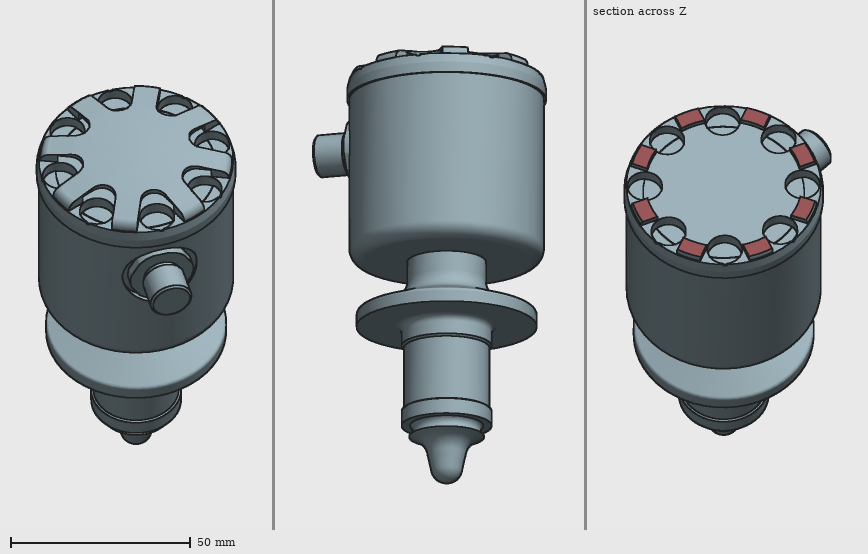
import cadquery as cq
import math

TOP_Z = 122.3
CAP_EDGE_Z = 119.9
LEDGE_Z = 117.2
LID_BEVEL_Z = 114.5
LID_BOTTOM_Z = 111.5
HOUSING_BOTTOM_Z = 64.3
FLANGE_TOP_Z = 49.4
FLANGE_BOTTOM_Z = 45.5
UPPER_BAND_BOTTOM_Z = 39.9
LOWER_BAND_TOP_Z = 20.9
LOWER_BAND_BOTTOM_Z = 16.6
GROOVE_WAIST_Z = 15.4
RIDGE_Z = 13.5
RIDGE_CONE_BOTTOM_Z = 12.7
NOSE_TOP_Z = 8.3
NOSE_BOTTOM_Z = 3.9

LID_RADIUS = 55.7 / 2
LEDGE_RADIUS = 27.2
CAP_RADIUS = 24.1
SPOKE_FOOT_RADIUS = 26.8
CAVITY_RADIUS = 43.8 / 2
CAP_ROUND_SAGITTA = 0.8
SLOT_COUNT = 8
SLOT_TIP_RADIUS = 7.7 / 2
SLOT_TIP_DISTANCE = 19.3
DRAIN_HOLE_DIAMETER = 9.7
DRAIN_HOLE_DISTANCE = 22.0
DRAIN_HOLE_DEPTH = 3.3
SEAT_RADIUS = 45.0 / 2
SEAT_STEP = 0.2
NOTCH_DIAMETER = 1.6
NOTCH_LIFT = 0.4

HOUSING_RADIUS = 54.4 / 2
HOUSING_FILLET = 3.9
NECK_RADIUS = 22.0 / 2
NECK_FILLET = 5.9
FLANGE_RADIUS = 25.2
FLANGE_SLOPE = math.radians(20)
FLANGE_EDGE_FILLET = 1.0
RIM_BOX = 0.1

BAND_RADIUS = 25.2 / 2
BAND_FILLET = 1.8
SHANK_RADIUS = 24.0 / 2
UPPER_CHAMFER_HEIGHT = 0.6
LOWER_CHAMFER_HEIGHT = 0.4
GROOVE_TOP_RADIUS = 10.3
GROOVE_WAIST_RADIUS = 9.5
RIDGE_RADIUS = 21.0 / 2
RIDGE_CONE_RADIUS = 8.8
FLARE_MID_RADIUS = 6.4
FLARE_MID_Z = 10.8
NOSE_TOP_RADIUS = 5.4
NOSE_BOTTOM_RADIUS = 4.4

CONNECTOR_Z = 98.3
CONNECTOR_END_X = 65.3 - LID_RADIUS
POCKET_DIAMETER = 21.5
POCKET_FLOOR_X = 24.5
NUT_FACE_X = 27.3
NUT_ACROSS_FLATS = 17.6
NUT_CORNER_DIAMETER = 18.2
PLUG_NECK_DIAMETER = 10.5
PLUG_START_X = 28.9
PLUG_DIAMETER = 11.9
PLUG_CHAMFER = 0.6


def polar(center, radius, angle):
    """Point at an angle on a circle around a center."""
    return (center[0] + radius * math.cos(angle), center[1] + radius * math.sin(angle))


def revolve_profile(profile):
    """Turn a closed profile of (radius, height) points around the Z axis."""
    return profile.close().revolve(360, (0, 0, 0), (0, 1, 0))


def disc(radius, bottom_z, height, x=0):
    """Upright cylinder whose axis crosses the X axis at x."""
    return cq.Workplane("XY").workplane(offset=bottom_z).center(x, 0).circle(radius).extrude(height)


def probe_and_flange():
    blend_sweep = math.pi / 2 - FLANGE_SLOPE
    blend_end_radius = NECK_RADIUS + NECK_FILLET * (1 - math.cos(blend_sweep))
    blend_end_z = FLANGE_TOP_Z + (FLANGE_RADIUS - blend_end_radius) * math.tan(FLANGE_SLOPE)
    blend_center = (NECK_RADIUS + NECK_FILLET, blend_end_z + NECK_FILLET * math.sin(blend_sweep))
    blend_mid = polar(blend_center, NECK_FILLET, math.pi + blend_sweep / 2)

    band_fillet_center = (BAND_RADIUS + BAND_FILLET, FLANGE_BOTTOM_Z - BAND_FILLET)
    band_fillet_mid = polar(band_fillet_center, BAND_FILLET, math.radians(135))

    tip_radius = (NOSE_BOTTOM_RADIUS**2 + NOSE_BOTTOM_Z**2) / (2 * NOSE_BOTTOM_Z)
    tip_mid = polar((0, tip_radius), tip_radius, math.radians(-45))

    profile = (
        cq.Workplane("XZ")
        .moveTo(0, 0)
        .threePointArc(tip_mid, (NOSE_BOTTOM_RADIUS, NOSE_BOTTOM_Z))
        .lineTo(NOSE_TOP_RADIUS, NOSE_TOP_Z)
        .threePointArc((FLARE_MID_RADIUS, FLARE_MID_Z), (RIDGE_CONE_RADIUS, RIDGE_CONE_BOTTOM_Z))
        .lineTo(RIDGE_RADIUS, RIDGE_Z)
        .threePointArc((GROOVE_WAIST_RADIUS, GROOVE_WAIST_Z), (GROOVE_TOP_RADIUS, LOWER_BAND_BOTTOM_Z))
        .lineTo(BAND_RADIUS, LOWER_BAND_BOTTOM_Z)
        .lineTo(BAND_RADIUS, LOWER_BAND_TOP_Z)
        .lineTo(SHANK_RADIUS, LOWER_BAND_TOP_Z + LOWER_CHAMFER_HEIGHT)
        .lineTo(SHANK_RADIUS, UPPER_BAND_BOTTOM_Z - UPPER_CHAMFER_HEIGHT)
        .lineTo(BAND_RADIUS, UPPER_BAND_BOTTOM_Z)
        .lineTo(BAND_RADIUS, FLANGE_BOTTOM_Z - BAND_FILLET)
        .threePointArc(band_fillet_mid, (BAND_RADIUS + BAND_FILLET, FLANGE_BOTTOM_Z))
        .lineTo(FLANGE_RADIUS, FLANGE_BOTTOM_Z)
        .lineTo(FLANGE_RADIUS, FLANGE_TOP_Z)
        .lineTo(blend_end_radius, blend_end_z)
        .threePointArc(blend_mid, (NECK_RADIUS, blend_center[1]))
        .lineTo(NECK_RADIUS, HOUSING_BOTTOM_Z)
        .lineTo(0, HOUSING_BOTTOM_Z)
    )
    flange_rim = cq.selectors.BoxSelector(
        (-RIM_BOX, -RIM_BOX, FLANGE_TOP_Z - RIM_BOX),
        (RIM_BOX, RIM_BOX, FLANGE_TOP_Z + RIM_BOX),
    )
    return revolve_profile(profile).edges(flange_rim).fillet(FLANGE_EDGE_FILLET)


def housing():
    body = disc(HOUSING_RADIUS, HOUSING_BOTTOM_Z, LID_BOTTOM_Z - HOUSING_BOTTOM_Z)
    return body.faces("<Z").edges().fillet(HOUSING_FILLET)


def lid_blank():
    dome_sphere_radius = (CAP_RADIUS**2 + (TOP_Z - CAP_EDGE_Z) ** 2) / (2 * (TOP_Z - CAP_EDGE_Z))
    half_angle = math.asin(CAP_RADIUS / dome_sphere_radius) / 2
    dome_mid = polar((0, TOP_Z - dome_sphere_radius), dome_sphere_radius, math.pi / 2 - half_angle)
    profile = (
        cq.Workplane("XZ")
        .moveTo(0, LID_BOTTOM_Z)
        .lineTo(LID_RADIUS, LID_BOTTOM_Z)
        .lineTo(LID_RADIUS, LID_BEVEL_Z)
        .lineTo(LEDGE_RADIUS, LEDGE_Z)
        .lineTo(SPOKE_FOOT_RADIUS, LEDGE_Z)
        .sagittaArc((CAP_RADIUS, CAP_EDGE_Z), -CAP_ROUND_SAGITTA)
        .threePointArc(dome_mid, (0, TOP_Z))
    )
    return revolve_profile(profile)


def lid_slot():
    """Wedge-shaped slot along +X whose sides run parallel to the spokes next to it."""
    half_angle = math.pi / SLOT_COUNT
    tip_center = (SLOT_TIP_DISTANCE, 0)
    side_x, side_y = polar(tip_center, SLOT_TIP_RADIUS, math.pi / 2 + half_angle)
    mouth_x = LID_RADIUS
    mouth_y = side_y + (mouth_x - side_x) * math.tan(half_angle)
    return (
        cq.Workplane("XY")
        .workplane(offset=LEDGE_Z)
        .moveTo(mouth_x, -mouth_y)
        .lineTo(side_x, -side_y)
        .threePointArc((SLOT_TIP_DISTANCE - SLOT_TIP_RADIUS, 0), (side_x, side_y))
        .lineTo(mouth_x, mouth_y)
        .close()
        .extrude(TOP_Z - LEDGE_Z)
    )


def drain_hole():
    """Blind hole under a slot, with a small round notch leading out through the rim."""
    hole_radius = DRAIN_HOLE_DIAMETER / 2
    hole_bottom_z = LEDGE_Z - DRAIN_HOLE_DEPTH
    hole = disc(hole_radius, hole_bottom_z, DRAIN_HOLE_DEPTH, DRAIN_HOLE_DISTANCE)

    step_z = hole_bottom_z - SEAT_STEP
    seat = disc(SEAT_RADIUS, step_z, SEAT_STEP)
    step = disc(hole_radius, step_z, SEAT_STEP, DRAIN_HOLE_DISTANCE).intersect(seat)

    notch = (
        cq.Workplane("YZ")
        .workplane(offset=DRAIN_HOLE_DISTANCE)
        .center(0, LEDGE_Z + NOTCH_LIFT)
        .circle(NOTCH_DIAMETER / 2)
        .extrude(LID_RADIUS - DRAIN_HOLE_DISTANCE)
    )
    return hole.union(step).union(notch)


def lid():
    cavity = disc(CAVITY_RADIUS, LEDGE_Z, CAP_EDGE_Z - LEDGE_Z)
    cover = lid_blank().cut(cavity)
    opening = lid_slot().union(drain_hole())
    for index in range(SLOT_COUNT):
        angle = index * 360 / SLOT_COUNT
        cover = cover.cut(opening.rotate((0, 0, 0), (0, 0, 1), angle))
    return cover


def connector_plane(x):
    """Plane facing +X on the connector axis."""
    return cq.Workplane("YZ").workplane(offset=x).center(0, CONNECTOR_Z)


def connector_pocket():
    return connector_plane(POCKET_FLOOR_X).circle(POCKET_DIAMETER / 2).extrude(LID_RADIUS - POCKET_FLOOR_X)


def connector():
    nut_length = NUT_FACE_X - POCKET_FLOOR_X
    corner_to_corner = NUT_ACROSS_FLATS / math.cos(math.pi / 6)
    hexagon = connector_plane(POCKET_FLOOR_X).polygon(6, corner_to_corner).extrude(nut_length)
    rounding = connector_plane(POCKET_FLOOR_X).circle(NUT_CORNER_DIAMETER / 2).extrude(nut_length)
    nut = hexagon.intersect(rounding)
    plug_neck = connector_plane(NUT_FACE_X).circle(PLUG_NECK_DIAMETER / 2).extrude(PLUG_START_X - NUT_FACE_X)
    plug = (
        connector_plane(PLUG_START_X)
        .circle(PLUG_DIAMETER / 2)
        .extrude(CONNECTOR_END_X - PLUG_START_X)
        .faces(">X")
        .chamfer(PLUG_CHAMFER)
    )
    return nut.union(plug_neck).union(plug)


result = housing().cut(connector_pocket()).union(connector()).union(lid()).union(probe_and_flange())